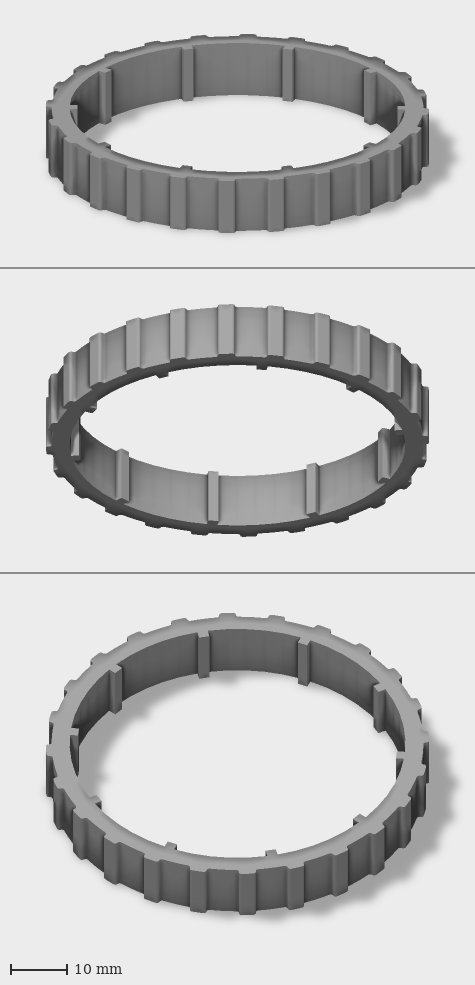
import cadquery as cq

tip_radius = 34.0
root_radius = 33.0
bore_radius = 29.8
height = 10.0

tooth_count = 24
tooth_width = 3.0
tooth_fillet = 0.495

key_count = 10
key_width = 1.85
key_depth = 1.4
first_key_angle = 90.0

overlap = 0.7


def radial_bar(inner_radius, outer_radius, width, angle):
    """Bar of full ring height that points outward at the given angle."""
    length = outer_radius - inner_radius
    middle = (inner_radius + outer_radius) / 2
    bar = cq.Workplane("XY").center(middle, 0).rect(length, width).extrude(height)
    return bar.rotate((0, 0, 0), (0, 0, 1), angle)


def toothed_disc():
    """Disc with evenly spaced teeth, rounded at their tips and roots."""
    disc = cq.Workplane("XY").circle(root_radius).extrude(height)
    for index in range(tooth_count):
        angle = index * 360 / tooth_count
        disc = disc.union(radial_bar(root_radius - overlap, tip_radius, tooth_width, angle))
    return disc.edges("|Z").fillet(tooth_fillet)


def add_keys(ring):
    """Square-edged keys that stand inward from the bore."""
    for index in range(key_count):
        angle = first_key_angle + index * 360 / key_count
        ring = ring.union(
            radial_bar(bore_radius - key_depth, bore_radius + overlap, key_width, angle)
        )
    return ring


bore = cq.Workplane("XY").circle(bore_radius).extrude(height)
result = add_keys(toothed_disc().cut(bore))